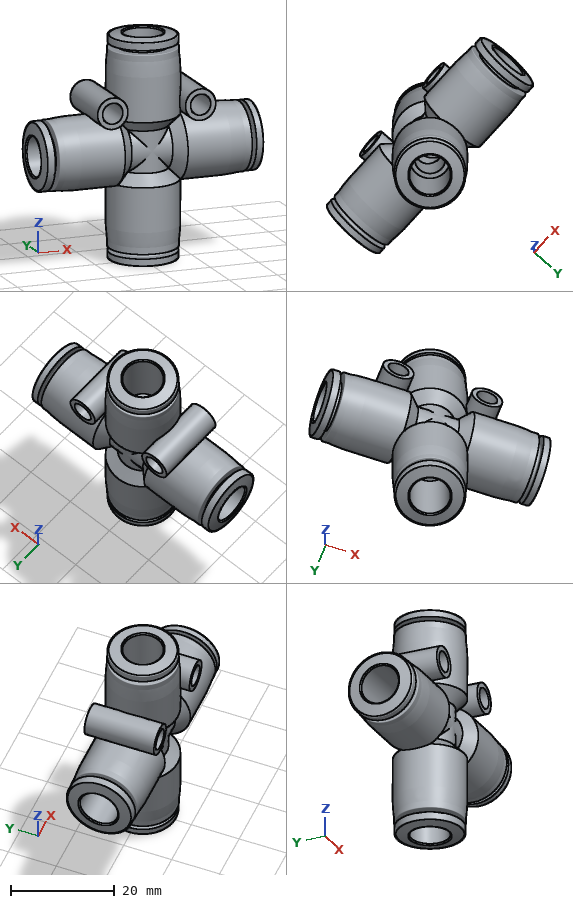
import cadquery as cq

SPAN = 45.6
REACH = SPAN / 2

BODY_RADIUS = 14.5 / 2
COLLAR_RADIUS = 14.0 / 2
CORE_RADIUS = 9.95 / 2
SHOULDER_END = 6.5
SHOULDER_START = SHOULDER_END - (BODY_RADIUS - CORE_RADIUS)
TAPER_START = 15.55
TAPER_END = 18.6
COLLAR_END = 19.95
COLLAR_ROUND = 0.15

RING_RADIUS = 13.8 / 2
NECK_RADIUS = 9.95 / 2
RING_BACK = 20.9
RING_RIM_END = 22.15
CROWN_RADIUS = 6.6
CROWN_START = 22.35
NECK_ROUND = 0.27

PASSAGE_RADIUS = 6.0 / 2
SOCKET_RADIUS = 7.95 / 2
SOCKET_FLOOR = 10.05
MOUTH_CHAMFER = 0.27
MOUTH_RADIUS = SOCKET_RADIUS + MOUTH_CHAMFER

SLEEVE_OFFSET = 9.1
SLEEVE_RADIUS = 6.3 / 2
SLEEVE_HOLE_RADIUS = 4.2 / 2
SLEEVE_LENGTH = 2 * BODY_RADIUS

ARM_ANGLES = (0, 90, 180, 270)


def aim(arm, angle):
    """Swing an upright arm about the Y axis."""
    return arm.rotate((0, 0, 0), (0, 1, 0), angle)


def revolve_upright(profile):
    """Turn a closed radius-height profile about the Z axis."""
    return profile.close().revolve(360, (0, 0, 0), (0, 1, 0))


def arm_solid():
    """Outside of the upper arm, from the part centre to the mouth."""
    profile = (
        cq.Workplane("XZ")
        .lineTo(CORE_RADIUS, 0)
        .lineTo(CORE_RADIUS, SHOULDER_START)
        .lineTo(BODY_RADIUS, SHOULDER_END)
        .lineTo(BODY_RADIUS, TAPER_START)
        .tangentArcPoint((COLLAR_RADIUS, TAPER_END), relative=False)
        .lineTo(COLLAR_RADIUS, COLLAR_END - COLLAR_ROUND)
        .tangentArcPoint((COLLAR_RADIUS - COLLAR_ROUND, COLLAR_END), relative=False)
        .lineTo(NECK_RADIUS, COLLAR_END)
        .lineTo(NECK_RADIUS, RING_BACK - NECK_ROUND)
        .tangentArcPoint((NECK_RADIUS + NECK_ROUND, RING_BACK), relative=False)
        .lineTo(RING_RADIUS, RING_BACK)
        .lineTo(RING_RADIUS, RING_RIM_END)
        .tangentArcPoint((CROWN_RADIUS, CROWN_START), relative=False)
        .lineTo(MOUTH_RADIUS, REACH)
        .lineTo(0, REACH)
    )
    return revolve_upright(profile)


def arm_bore():
    """Stepped bore of the upper arm: passage, tube socket and chamfered mouth."""
    profile = (
        cq.Workplane("XZ")
        .lineTo(PASSAGE_RADIUS, 0)
        .lineTo(PASSAGE_RADIUS, SOCKET_FLOOR)
        .lineTo(SOCKET_RADIUS, SOCKET_FLOOR)
        .lineTo(SOCKET_RADIUS, REACH - MOUTH_CHAMFER)
        .lineTo(MOUTH_RADIUS, REACH)
        .lineTo(0, REACH)
    )
    return revolve_upright(profile)


def sleeve_cylinders(radius):
    """A cylinder along Y at each mounting sleeve position."""
    return (
        cq.Workplane("XZ")
        .pushPoints([(-SLEEVE_OFFSET, SLEEVE_OFFSET), (SLEEVE_OFFSET, SLEEVE_OFFSET)])
        .circle(radius)
        .extrude(SLEEVE_LENGTH / 2, both=True)
    )


result = sleeve_cylinders(SLEEVE_RADIUS)
for arm_angle in ARM_ANGLES:
    result = result.union(aim(arm_solid(), arm_angle))

for arm_angle in ARM_ANGLES:
    result = result.cut(aim(arm_bore(), arm_angle))

result = result.cut(sleeve_cylinders(SLEEVE_HOLE_RADIUS))